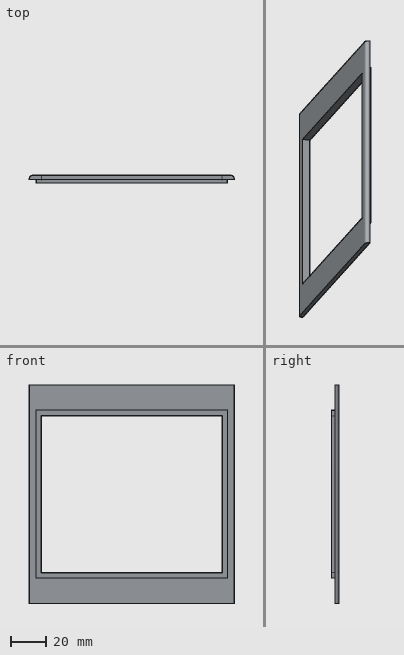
import cadquery as cq

plate_width = 116.0
plate_height = 123.8
plate_thickness = 2.5
side_edge_radius = 2.0

rim_side_margin = 4.0
rim_end_margin = 14.4
rim_depth = 2.0
rim_side_wall = 3.0
rim_end_wall = 3.2

rim_width = plate_width - 2 * rim_side_margin
rim_height = plate_height - 2 * rim_end_margin
window_width = rim_width - 2 * rim_side_wall
window_height = rim_height - 2 * rim_end_wall


def block(width, height, y_front, y_back):
    """Box centred in X and Z, spanning the given Y range."""
    depth = y_back - y_front
    return cq.Workplane("XY").box(width, depth, height).translate((0, (y_front + y_back) / 2, 0))


plate = block(plate_width, plate_height, 0, plate_thickness)
plate = plate.faces(">Y").edges("|Z").fillet(side_edge_radius)

rim = block(rim_width, rim_height, -rim_depth, 0)

window = block(window_width, window_height, -rim_depth, plate_thickness)

result = plate.union(rim).cut(window)